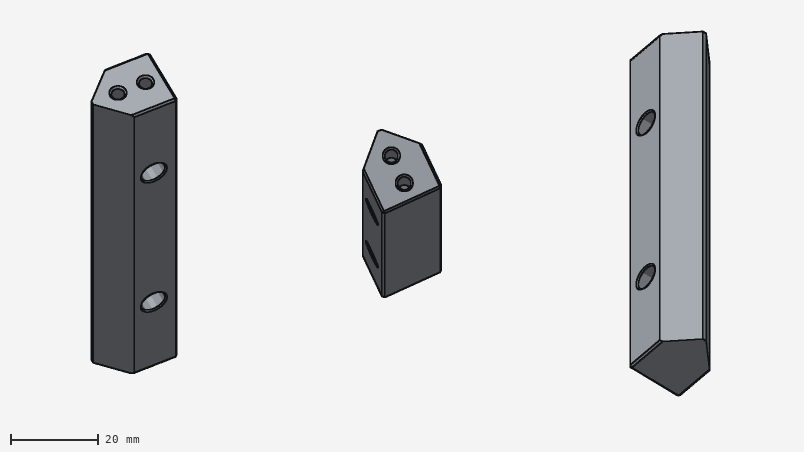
import cadquery as cq
import math

length = 100.0
width = 15.0
depth = 18.0
nose_flat = 1.0
nose_depth = (width - nose_flat) / 2
edge_chamfer = 0.5

cross_hole_diameter = 6.0
cross_hole_rim_diameter = 6.7
cross_hole_back_distance = 6.0
cross_hole_end_distance = 25.0

top_hole_diameter = 3.0
top_hole_rim_diameter = 4.0
top_hole_depth = 10.0
top_hole_back_distances = (4.5, 11.5)
drill_point_angle = 118.0

back_y = depth / 2
front_y = -depth / 2
shoulder_y = front_y + nose_depth
side_x = width / 2
end_z = length / 2


def make_bar():
    """Extrude the section and chamfer the edges of the back and side faces."""
    bar = (
        cq.Workplane("XY", origin=(0, 0, -end_z))
        .moveTo(-side_x, back_y)
        .lineTo(-side_x, shoulder_y)
        .lineTo(-nose_flat / 2, front_y)
        .lineTo(nose_flat / 2, front_y)
        .lineTo(side_x, shoulder_y)
        .lineTo(side_x, back_y)
        .close()
        .extrude(length)
    )
    back_edges = bar.faces(">Y").edges()
    side_end_edges = bar.faces("<X or >X").edges("|Y")
    return back_edges.add(side_end_edges).chamfer(edge_chamfer)


def make_cross_hole(z):
    """Revolve the cutter of a through hole along X with a 45 degree rim at each end."""
    radius = cross_hole_diameter / 2
    rim_radius = cross_hole_rim_diameter / 2
    rim_depth = rim_radius - radius
    center_y = back_y - cross_hole_back_distance
    return (
        cq.Workplane("XY", origin=(0, center_y, z))
        .moveTo(-side_x, 0)
        .lineTo(-side_x, rim_radius)
        .lineTo(-side_x + rim_depth, radius)
        .lineTo(side_x - rim_depth, radius)
        .lineTo(side_x, rim_radius)
        .lineTo(side_x, 0)
        .close()
        .revolve(360, (0, 0, 0), (1, 0, 0))
    )


def make_top_hole(y):
    """Revolve the cutter of a blind hole along Z with a 45 degree rim and a conical bottom."""
    radius = top_hole_diameter / 2
    rim_radius = top_hole_rim_diameter / 2
    rim_depth = rim_radius - radius
    point_depth = radius / math.tan(math.radians(drill_point_angle / 2))
    return (
        cq.Workplane("XZ", origin=(0, y, end_z))
        .lineTo(rim_radius, 0)
        .lineTo(radius, -rim_depth)
        .lineTo(radius, -top_hole_depth)
        .lineTo(0, -top_hole_depth - point_depth)
        .close()
        .revolve(360, (0, 0, 0), (0, 1, 0))
    )


result = make_bar()
for direction in (-1, 1):
    cross_hole_z = direction * (end_z - cross_hole_end_distance)
    result = result.cut(make_cross_hole(cross_hole_z))
for back_distance in top_hole_back_distances:
    result = result.cut(make_top_hole(back_y - back_distance))